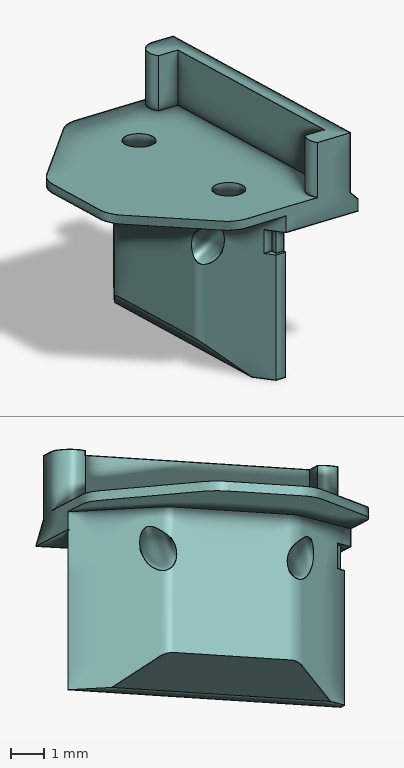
import cadquery as cq
import math

WIDTH = 8.9
PLATE_THICKNESS = 0.29
PLATE_LEFT_CHAMFER = 2.99
PLATE_RIGHT_CHAMFER = 2.73
PLATE_CORNER_RADIUS = 1.01

WALL_HEIGHT = 1.8
WALL_BACK = 6.995
WALL_FRONT = 6.5
POST_FRONT = 5.68
POST_RADIUS = 0.58
LEFT_POST_WIDTH = 0.91
RIGHT_POST_WIDTH = 0.64
RIGHT_POST_CENTER_X = WIDTH - RIGHT_POST_WIDTH / 2

LEDGE_BOTTOM = -0.84
LIP_BACK = 7.67
LIP_RIGHT_BACK = 7.28

BLOCK_BOTTOM = WALL_HEIGHT - 7.5
BLOCK_BACK = 4.78
BLOCK_FRONT = 2.99
BLOCK_TAPER = 2.5
BLOCK_FULL_WIDTH = 9.16
BLOCK_TRIMMED_WIDTH = 8.64
BLOCK_CORNER_RADIUS = 0.73
BLOCK_BOTTOM_CHAMFER = 0.99

NOTCH_BOTTOM = -1.61
NOTCH_FRONT_X = 8.34
NOTCH_BACK_X = 8.54
NOTCH_STEP_Y = 4.495

HOLE_DIAMETER = 1.01
HOLE_Y = 4.005
HOLE_LEFT_X = 2.32
HOLE_SPACING = 4.5
HOLE_BEND_RADIUS = 1.96
HOLE_BEND_ANGLE = 90.0


def box(x_min, x_max, y_min, y_max, z_min, z_max):
    size = (x_max - x_min, y_max - y_min, z_max - z_min)
    return cq.Workplane().box(*size, centered=False).translate((x_min, y_min, z_min))


def make_plate():
    plate = box(0, WIDTH, 0, WALL_BACK, -PLATE_THICKNESS, 0)
    plate = plate.edges("|Z and <X and <Y").chamfer(PLATE_LEFT_CHAMFER)
    plate = plate.edges("|Z and >X and <Y").chamfer(PLATE_RIGHT_CHAMFER)
    front_corners = cq.selectors.BoxSelector(
        (-0.09, -0.09, -PLATE_THICKNESS), (WIDTH + 0.09, WALL_BACK / 2, 0)
    )
    return plate.edges("|Z").edges(front_corners).fillet(PLATE_CORNER_RADIUS)


def make_wall():
    post_center_y = POST_FRONT + POST_RADIUS
    half_right = RIGHT_POST_WIDTH / 2
    left_end_y = post_center_y - math.sqrt(POST_RADIUS**2 - (LEFT_POST_WIDTH - POST_RADIUS) ** 2)
    right_end_y = post_center_y - math.sqrt(POST_RADIUS**2 - half_right**2)
    return (
        cq.Workplane()
        .moveTo(0, WALL_BACK)
        .lineTo(0, post_center_y)
        .threePointArc((POST_RADIUS, POST_FRONT), (LEFT_POST_WIDTH, left_end_y))
        .lineTo(LEFT_POST_WIDTH, WALL_FRONT)
        .lineTo(WIDTH - RIGHT_POST_WIDTH, WALL_FRONT)
        .lineTo(WIDTH - RIGHT_POST_WIDTH, right_end_y)
        .threePointArc((RIGHT_POST_CENTER_X, POST_FRONT), (WIDTH, right_end_y))
        .lineTo(WIDTH, WALL_BACK)
        .close()
        .extrude(WALL_HEIGHT)
    )


def make_ledge():
    lip_top = LEDGE_BOTTOM + LIP_BACK - WALL_BACK
    profile = [
        (BLOCK_BACK, 0),
        (WALL_BACK, 0),
        (WALL_BACK, lip_top),
        (LIP_BACK, LEDGE_BOTTOM),
        (BLOCK_BACK, LEDGE_BOTTOM),
    ]
    ledge = cq.Workplane("YZ").polyline(profile).close().extrude(WIDTH)
    lip_trim = (
        cq.Workplane()
        .workplane(offset=LEDGE_BOTTOM)
        .polyline([(0, LIP_BACK), (WIDTH, LIP_RIGHT_BACK), (WIDTH, LIP_BACK)])
        .close()
        .extrude(-LEDGE_BOTTOM)
    )
    return ledge.cut(lip_trim)


def make_block():
    outline = [
        (0, BLOCK_BACK),
        (BLOCK_TAPER, BLOCK_FRONT),
        (BLOCK_FULL_WIDTH - BLOCK_TAPER, BLOCK_FRONT),
        (BLOCK_FULL_WIDTH, BLOCK_BACK),
    ]
    block = cq.Workplane().polyline(outline).close().extrude(BLOCK_BOTTOM)
    block = block.faces("<Y").edges("|Z").fillet(BLOCK_CORNER_RADIUS)

    chamfer_profile = [
        (BLOCK_FRONT, BLOCK_BOTTOM),
        (BLOCK_FRONT + BLOCK_BOTTOM_CHAMFER, BLOCK_BOTTOM),
        (BLOCK_FRONT, BLOCK_BOTTOM + BLOCK_BOTTOM_CHAMFER),
    ]
    block = block.cut(cq.Workplane("YZ").polyline(chamfer_profile).close().extrude(BLOCK_FULL_WIDTH))

    right_trims = [
        (WIDTH, BLOCK_BACK, LEDGE_BOTTOM, 0),
        (BLOCK_TRIMMED_WIDTH, BLOCK_BACK, BLOCK_BOTTOM, LEDGE_BOTTOM),
        (NOTCH_FRONT_X, NOTCH_STEP_Y, NOTCH_BOTTOM, LEDGE_BOTTOM),
        (NOTCH_BACK_X, BLOCK_BACK, NOTCH_BOTTOM, LEDGE_BOTTOM),
    ]
    for x_min, y_max, z_min, z_max in right_trims:
        block = block.cut(box(x_min, BLOCK_FULL_WIDTH, BLOCK_FRONT, y_max, z_min, z_max))
    return block


def make_curved_hole(x):
    return (
        cq.Workplane(origin=(x, HOLE_Y, 0))
        .circle(HOLE_DIAMETER / 2)
        .revolve(HOLE_BEND_ANGLE, (0.09, -HOLE_BEND_RADIUS), (0, -HOLE_BEND_RADIUS))
    )


result = make_plate().union(make_wall()).union(make_ledge()).union(make_block())
for hole_x in (HOLE_LEFT_X, HOLE_LEFT_X + HOLE_SPACING):
    result = result.cut(make_curved_hole(hole_x))